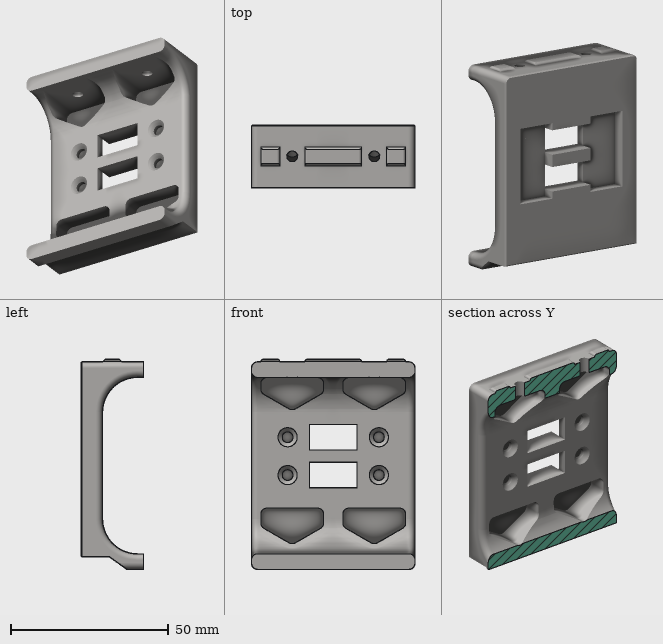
import cadquery as cq
import math

width = 52.0
depth = 20.0
total_height = 66.8
pad_height = 0.8
block_height = total_height - pad_height
edge_radius = 2.0
back_chamfer = 0.4

lip_thickness = 5.0
scoop_radius = 11.0
panel_front = 13.0
opening_bottom = lip_thickness
opening_top = block_height - lip_thickness

step_height = 4.0
ramp_front = 5.3
ramp_back = 10.9

pocket_x = 13.0
pocket_width = 20.0
pocket_radius = 2.0
pocket_floor = 19.3
pocket_slope = 30.0
lower_pocket = (7.9, 19.5)
upper_pocket = (50.45, opening_top)

access_diameter = 3.4
mid_depth = depth / 2
pad_depth = 6.0
side_pad_width = 6.0
side_pad_x = 20.0
center_pad_width = 18.05

row_heights = (30.0, 42.0)
window_width = 15.0
window_height = 8.0
screw_x = 14.5
screw_diameter = 3.4
countersink_diameter = 6.1
countersink_depth = (countersink_diameter - screw_diameter) / 2

skin_thickness = 3.0
cavity_margin = 2.35
cavity_outer_x = 20.05

plug_thickness = 0.3

cavity_front = panel_front + skin_thickness


def x_prism(profile, length):
    """Extrude a (Y, Z) sketch symmetrically in X."""
    return profile.extrude(length / 2, both=True)


def y_box(x_range, y_range, z_range):
    """Box given by its limits on the three axes."""
    size = [end - start for start, end in (x_range, y_range, z_range)]
    corner = (x_range[0], y_range[0], z_range[0])
    return cq.Workplane("XY").box(*size, centered=False).translate(corner)


def make_block():
    """Outer block with rounded long edges and a chamfered, stepped rear."""
    block = y_box((-width / 2, width / 2), (0, depth), (0, block_height))
    block = block.edges("|Y").fillet(edge_radius)
    step = cq.Workplane("YZ").polyline([
        (ramp_front, 0),
        (ramp_back, step_height),
        (depth, step_height),
        (depth, 0),
    ]).close()
    block = block.cut(x_prism(step, width))
    return block.faces(">Y").chamfer(back_chamfer)


def make_opening():
    """C-shaped opening with quarter-round scoops above and below the panel."""
    straight = panel_front - scoop_radius
    diagonal = scoop_radius * math.sqrt(0.5)
    lower_center = opening_bottom + scoop_radius
    upper_center = opening_top - scoop_radius
    profile = (
        cq.Workplane("YZ")
        .moveTo(0, opening_bottom)
        .lineTo(straight, opening_bottom)
        .threePointArc((straight + diagonal, lower_center - diagonal), (panel_front, lower_center))
        .lineTo(panel_front, upper_center)
        .threePointArc((straight + diagonal, upper_center + diagonal), (straight, opening_top))
        .lineTo(0, opening_top)
        .close()
    )
    return x_prism(profile, width)


def round_opening_edges(body):
    """Round the two side edges of the opening along their whole length."""
    margin = 0.1
    selector = cq.selectors.BoxSelector(
        (-width, margin, opening_bottom - margin),
        (width, panel_front + margin, opening_top + margin),
    )
    side_edges = body.faces("<X or >X").edges(selector)
    return side_edges.fillet(edge_radius)


def make_pocket(x, point, top):
    """Five-sided pocket standing on its point, with rounded edges."""
    half = pocket_width / 2
    shoulder = point + half * math.tan(math.radians(pocket_slope))
    return (
        cq.Workplane("XZ")
        .polyline([
            (x - half, top),
            (x + half, top),
            (x + half, shoulder),
            (x, point),
            (x - half, shoulder),
        ])
        .close()
        .extrude(-pocket_floor)
        .edges("|Y")
        .fillet(pocket_radius)
    )


def make_access_hole(x):
    """Vertical hole from the top into the upper scoop."""
    bottom = opening_top - scoop_radius
    hole = cq.Workplane("XY").circle(access_diameter / 2).extrude(block_height - bottom)
    return hole.translate((x, mid_depth, bottom))


def make_pad(x, pad_width):
    """Locating pad with chamfered front and rear and rounded ends."""
    half_depth = pad_depth / 2
    profile = cq.Workplane("YZ").polyline([
        (mid_depth - half_depth, block_height),
        (mid_depth - half_depth + pad_height, total_height),
        (mid_depth + half_depth - pad_height, total_height),
        (mid_depth + half_depth, block_height),
    ]).close()
    half_width = pad_width / 2
    flat_half = half_width - pad_height
    rise = pad_height * math.sqrt(0.5)
    rounded = (
        cq.Workplane("XZ")
        .moveTo(-half_width, block_height)
        .threePointArc((-flat_half - rise, block_height + rise), (-flat_half, total_height))
        .lineTo(flat_half, total_height)
        .threePointArc((flat_half + rise, block_height + rise), (half_width, block_height))
        .close()
        .extrude(-depth)
    )
    return x_prism(profile, pad_width).intersect(rounded).translate((x, 0, 0))


def make_window(z):
    half_width = window_width / 2
    return y_box(
        (-half_width, half_width),
        (panel_front, depth),
        (z - window_height / 2, z + window_height / 2),
    )


def make_cavity(side):
    """Rear cavity beside the windows, spanning both rows."""
    reach = window_height / 2 + cavity_margin
    x_limits = sorted((side * window_width / 2, side * cavity_outer_x))
    z_limits = (min(row_heights) - reach, max(row_heights) + reach)
    return y_box(x_limits, (cavity_front, depth), z_limits)


def make_screw_hole(x, z):
    """Countersunk hole through the skin, as a revolved cutter along Y."""
    radius = screw_diameter / 2
    cutter = (
        cq.Workplane("XY")
        .polyline([
            (0, panel_front),
            (countersink_diameter / 2, panel_front),
            (radius, panel_front + countersink_depth),
            (radius, cavity_front),
            (0, cavity_front),
        ])
        .close()
        .revolve(360, (0, 0), (0, 1))
    )
    return cutter.translate((x, 0, z))


def make_housing():
    housing = round_opening_edges(make_block().cut(make_opening()))
    for x in (-pocket_x, pocket_x):
        for point, top in (lower_pocket, upper_pocket):
            housing = housing.cut(make_pocket(x, point, top))
        housing = housing.cut(make_access_hole(x))
    for side in (-1, 1):
        housing = housing.cut(make_cavity(side))
        housing = housing.union(make_pad(side * side_pad_x, side_pad_width))
    housing = housing.union(make_pad(0, center_pad_width))
    for z in row_heights:
        housing = housing.cut(make_window(z))
        for side in (-1, 1):
            housing = housing.cut(make_screw_hole(side * screw_x, z))
    return housing


def make_plug(x, z):
    """Disc in the rear end of a screw hole, flush with the back of the skin."""
    disc = cq.Workplane("XZ").circle(screw_diameter / 2).extrude(plug_thickness)
    return disc.translate((x, cavity_front, z))


housing = make_housing()
plugs = [make_plug(side * screw_x, z) for z in row_heights for side in (-1, 1)]
result = cq.Compound.makeCompound([housing.val(), *[plug.val() for plug in plugs]])